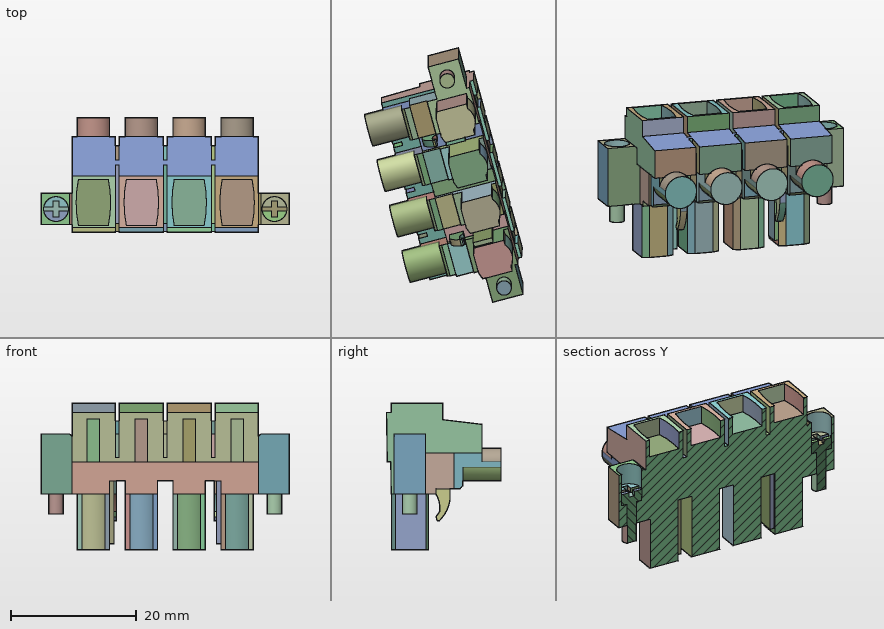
import cadquery as cq


OVERLAP = 0.4

POLE_COUNT = 4
POLE_PITCH = 7.65
POLE_SLOT_WIDTH = 0.6
TOTAL_LENGTH = 39.55
HOUSING_LENGTH = 29.7
POLE_CENTERS = [(i - (POLE_COUNT - 1) / 2) * POLE_PITCH for i in range(POLE_COUNT)]
GAP_CENTERS = [(i - (POLE_COUNT - 2) / 2) * POLE_PITCH for i in range(POLE_COUNT - 1)]

TOP_Z = 14.47
BACK_Y = 11.55
BACK_TOP_Z = 11.1
TOWER_BACK_Y = 5.25
TOWER_FOOT_Z = 11.85
FRONT_Y = -2.95
APRON_TOP_Z = 13.0
APRON_BOTTOM_Z = 5.15
APRON_TOP_Y = -3.7
APRON_DRAFT = 0.1
SKIRT_DRAFT = 0.08
SKIRT_TOP_Y = FRONT_Y - SKIRT_DRAFT
HEEL_Y = 4.15
HEEL_Z = 0.85
SHELF_Z = 6.55
SHELF_Y = 7.05
END_RELIEF_DEPTH = 0.47

SLOT_FLOOR_Z = 9.55
FRONT_SLOT_FLOOR_Z = 5.85
FRONT_SLOT_BACK_Y = -2.3
BRIDGE_FRONT_Y = SHELF_Y
BRIDGE_BACK_Y = 7.83
REAR_SLOT_BACK_Y = 10.1

POCKET_FRONT_Y = -2.65
POCKET_BACK_Y = 4.75
POCKET_END_WIDTH = 4.75
POCKET_MID_WIDTH = 5.5
POCKET_DEPTH = 3.05
GROOVE_WIDTH = 2.0
GROOVE_TOP_Z = 11.95
GROOVE_FLOOR_LEDGE = 0.1
GROOVE_FLOOR_Y = SKIRT_TOP_Y - GROOVE_FLOOR_LEDGE

POST_WIDTH = 5.18
POST_BOTTOM_Z = -8.9
POST_FRONT_Y = -2.25
POST_BULGE_Y = -2.93
POST_BULGE_WIDTH = 3.68
POST_BACK_Y = 3.0
POST_CHAMFER_DEPTH = 0.4
POST_CHAMFER_WIDTH = 1.05
NOTCH_TOP_Z = 2.1

KEY_WIDTH = 0.7
KEY_FRONT_Y = -0.5
KEY_BACK_Y = POST_BACK_Y - POST_CHAMFER_DEPTH
KEY_BOTTOM_Z = -7.95
LATCH_WIDTH = 1.05
LATCH_BACK_Y = 6.45
LATCH_BEND_Z = -0.8
LATCH_BACK_MID = (5.85, -2.73)
LATCH_TIP_BACK = (4.7, -4.27)
LATCH_TIP_FRONT = (4.4, -4.27)
LATCH_NOSE_Z = -3.65
LATCH_THROAT = (4.75, -2.8)
LATCH_FRONT_MID = (4.65, -1.25)

EAR_TOP_Z = SLOT_FLOOR_Z
EAR_BACK_Y = 2.55
EAR_FRONT_Y = -2.5
EAR_BEVEL_WIDTH = 0.4
EAR_BEVEL_DROP = 0.35
SCREW_EDGE_DISTANCE = 2.37
SCREW_X = TOTAL_LENGTH / 2 - SCREW_EDGE_DISTANCE

HEAD_DIAMETER = 3.95
HEAD_BOTTOM_Z = 3.95
HEAD_TOP_Z = 5.95
SHANK_DIAMETER = 2.35
SHANK_BOTTOM_Z = -3.2
DRIVE_DEPTH = 0.8
DRIVE_SLOT_WIDTH = 0.65
CROSS_WIDTH = 0.9
CROSS_LENGTH = 2.6

SLEEVE_END_Y = 14.55
SLEEVE_AXIS_Z = 4.7
SLEEVE_DIAMETER = 5.25
BLOCK_BACK_Y = 8.45
BLOCK_CHAMFER = 0.47


def box(x_range, y_range, z_range):
    """Axis-aligned box between the given limits."""
    (x0, x1), (y0, y1), (z0, z1) = x_range, y_range, z_range
    return cq.Workplane("XY").box(x1 - x0, y1 - y0, z1 - z0, centered=False).translate((x0, y0, z0))


def around(center, width):
    """Limits of a span with the given centre and width."""
    return (center - width / 2, center + width / 2)


def extrude_along_x(sketch, center_x, width):
    """Extrude a closed YZ outline to the given width about center_x."""
    return sketch.extrude(width / 2, both=True).translate((center_x, 0, 0))


def mirrored(left_feature):
    """A feature at the -X end together with its mirror image at the +X end."""
    return left_feature.union(left_feature.mirror("YZ"))


def housing_shell():
    outline = [
        (BACK_Y, SHELF_Z),
        (BACK_Y, BACK_TOP_Z),
        (TOWER_BACK_Y, TOWER_FOOT_Z),
        (TOWER_BACK_Y, TOP_Z),
        (FRONT_Y, TOP_Z),
        (FRONT_Y, APRON_TOP_Z),
        (APRON_TOP_Y, APRON_TOP_Z),
        (APRON_TOP_Y + APRON_DRAFT, APRON_BOTTOM_Z),
        (SKIRT_TOP_Y, APRON_BOTTOM_Z),
        (FRONT_Y, 0),
        (HEEL_Y, 0),
        (HEEL_Y, HEEL_Z),
        (SHELF_Y, HEEL_Z),
        (SHELF_Y, SHELF_Z),
    ]
    shell = extrude_along_x(cq.Workplane("YZ").polyline(outline).close(), 0, HOUSING_LENGTH)
    end_x = -HOUSING_LENGTH / 2
    relief = box(
        (end_x - OVERLAP, end_x + END_RELIEF_DEPTH),
        (EAR_BACK_Y, SHELF_Y + OVERLAP),
        (-OVERLAP, SHELF_Z),
    )
    return shell.cut(mirrored(relief))


def pole_slot(center_x):
    """Slot between two poles: stepped in front of the bridge, and behind it open at the back."""
    x_range = around(center_x, POLE_SLOT_WIDTH)
    above = TOP_Z + OVERLAP
    front = box(x_range, (APRON_TOP_Y - OVERLAP, FRONT_SLOT_BACK_Y), (FRONT_SLOT_FLOOR_Z, above))
    middle = box(x_range, (FRONT_SLOT_BACK_Y, BRIDGE_FRONT_Y), (SLOT_FLOOR_Z, above))
    rear = box(x_range, (BRIDGE_BACK_Y, REAR_SLOT_BACK_Y), (SLOT_FLOOR_Z, above))
    back = box(x_range, (REAR_SLOT_BACK_Y, BACK_Y + OVERLAP), (SHELF_Z - OVERLAP, above))
    return front.union(middle).union(rear).union(back)


def wire_pocket(center_x):
    """Top pocket with straight ends and bulging sides."""
    end = POCKET_END_WIDTH / 2
    mid = POCKET_MID_WIDTH / 2
    mid_y = (POCKET_FRONT_Y + POCKET_BACK_Y) / 2
    return (
        cq.Workplane("XY", origin=(center_x, 0, TOP_Z))
        .moveTo(-end, POCKET_FRONT_Y)
        .lineTo(end, POCKET_FRONT_Y)
        .threePointArc((mid, mid_y), (end, POCKET_BACK_Y))
        .lineTo(-end, POCKET_BACK_Y)
        .threePointArc((-mid, mid_y), (-end, POCKET_FRONT_Y))
        .close()
        .extrude(-POCKET_DEPTH)
    )


def front_groove(center_x):
    return box(
        around(center_x, GROOVE_WIDTH),
        (APRON_TOP_Y - OVERLAP, GROOVE_FLOOR_Y),
        (APRON_BOTTOM_Z, GROOVE_TOP_Z),
    )


def underside_notch(center_x):
    return box(
        around(center_x, POLE_PITCH - POST_WIDTH),
        (APRON_TOP_Y - OVERLAP, SHELF_Y + OVERLAP),
        (-OVERLAP, NOTCH_TOP_Z),
    )


def plug_post(center_x):
    """Post with a bulging front and chamfered rear corners."""
    half = POST_WIDTH / 2
    bulge = POST_BULGE_WIDTH / 2
    return (
        cq.Workplane("XY", origin=(center_x, 0, POST_BOTTOM_Z))
        .moveTo(-half, POST_FRONT_Y)
        .lineTo(-bulge, POST_FRONT_Y)
        .threePointArc((0, POST_BULGE_Y), (bulge, POST_FRONT_Y))
        .lineTo(half, POST_FRONT_Y)
        .lineTo(half, POST_BACK_Y - POST_CHAMFER_DEPTH)
        .lineTo(half - POST_CHAMFER_WIDTH, POST_BACK_Y)
        .lineTo(POST_CHAMFER_WIDTH - half, POST_BACK_Y)
        .lineTo(-half, POST_BACK_Y - POST_CHAMFER_DEPTH)
        .close()
        .extrude(NOTCH_TOP_Z - POST_BOTTOM_Z)
    )


def coding_key(post_side_x):
    return box(
        (post_side_x, post_side_x + KEY_WIDTH),
        (KEY_FRONT_Y, KEY_BACK_Y),
        (KEY_BOTTOM_Z, NOTCH_TOP_Z),
    )


def latch(post_side_x):
    """Hook that hangs below the housing and curves toward the posts."""
    hook = (
        cq.Workplane("YZ")
        .moveTo(LATCH_BACK_Y, NOTCH_TOP_Z)
        .lineTo(LATCH_BACK_Y, LATCH_BEND_Z)
        .threePointArc(LATCH_BACK_MID, LATCH_TIP_BACK)
        .lineTo(*LATCH_TIP_FRONT)
        .lineTo(HEEL_Y, LATCH_NOSE_Z)
        .lineTo(*LATCH_THROAT)
        .threePointArc(LATCH_FRONT_MID, (HEEL_Y, 0))
        .lineTo(HEEL_Y, NOTCH_TOP_Z)
        .close()
    )
    return extrude_along_x(hook, post_side_x + LATCH_WIDTH / 2, LATCH_WIDTH)


def screw_ear():
    """Flange at the -X end, beveled beside the housing and bored for its screw."""
    outer_x = -TOTAL_LENGTH / 2
    inner_x = -HOUSING_LENGTH / 2
    outline = [
        (outer_x, 0),
        (inner_x, 0),
        (inner_x, EAR_TOP_Z - EAR_BEVEL_DROP),
        (inner_x - EAR_BEVEL_WIDTH, EAR_TOP_Z),
        (outer_x, EAR_TOP_Z),
    ]
    ear = (
        cq.Workplane("XZ", origin=(0, EAR_BACK_Y, 0))
        .polyline(outline)
        .close()
        .extrude(EAR_BACK_Y - EAR_FRONT_Y)
    )
    bore = cq.Workplane("XY", origin=(-SCREW_X, 0, 0))
    shank_hole = bore.circle(SHANK_DIAMETER / 2).extrude(HEAD_BOTTOM_Z)
    head_seat = bore.workplane(offset=HEAD_BOTTOM_Z)
    head_hole = head_seat.circle(HEAD_DIAMETER / 2).extrude(EAR_TOP_Z - HEAD_BOTTOM_Z)
    return ear.cut(shank_hole).cut(head_hole)


def make_housing():
    housing = housing_shell()
    for x in GAP_CENTERS:
        housing = housing.cut(pole_slot(x)).cut(underside_notch(x))
    for x in POLE_CENTERS:
        housing = housing.cut(wire_pocket(x)).cut(front_groove(x)).union(plug_post(x))
    inner_side_x = POLE_CENTERS[0] + POST_WIDTH / 2
    for end_feature in (coding_key(inner_side_x), latch(inner_side_x), screw_ear()):
        housing = housing.union(mirrored(end_feature))
    return housing


def make_screw(center_x):
    """Headed screw with a full-width slot crossed by a shorter one."""
    shank = (
        cq.Workplane("XY", origin=(center_x, 0, SHANK_BOTTOM_Z))
        .circle(SHANK_DIAMETER / 2)
        .extrude(HEAD_BOTTOM_Z - SHANK_BOTTOM_Z)
    )
    head = (
        cq.Workplane("XY", origin=(center_x, 0, HEAD_BOTTOM_Z))
        .circle(HEAD_DIAMETER / 2)
        .extrude(HEAD_TOP_Z - HEAD_BOTTOM_Z)
    )
    drive = (
        cq.Workplane("XY", origin=(center_x, 0, HEAD_TOP_Z))
        .rect(HEAD_DIAMETER + OVERLAP, DRIVE_SLOT_WIDTH)
        .extrude(-DRIVE_DEPTH)
    )
    cross = (
        cq.Workplane("XY", origin=(center_x, 0, HEAD_TOP_Z))
        .rect(CROSS_WIDTH, CROSS_LENGTH)
        .extrude(-DRIVE_DEPTH)
    )
    return shank.union(head).cut(drive).cut(cross)


def make_wire_block(center_x):
    """Angled block under the housing shelf with a flat-sided round sleeve at the back."""
    outline = [
        (SHELF_Y, HEEL_Z),
        (BLOCK_BACK_Y - BLOCK_CHAMFER, HEEL_Z),
        (BLOCK_BACK_Y, HEEL_Z + BLOCK_CHAMFER),
        (BLOCK_BACK_Y, SLEEVE_AXIS_Z),
        (BACK_Y, SLEEVE_AXIS_Z),
        (BACK_Y, SHELF_Z),
        (SHELF_Y, SHELF_Z),
    ]
    block = extrude_along_x(cq.Workplane("YZ").polyline(outline).close(), center_x, POST_WIDTH)
    sleeve = (
        cq.Workplane("XZ", origin=(center_x, SLEEVE_END_Y, SLEEVE_AXIS_Z))
        .circle(SLEEVE_DIAMETER / 2)
        .extrude(SLEEVE_END_Y - BLOCK_BACK_Y)
    )
    envelope = box(
        around(center_x, POST_WIDTH),
        (BLOCK_BACK_Y, SLEEVE_END_Y),
        around(SLEEVE_AXIS_Z, SLEEVE_DIAMETER),
    )
    shelf_space = box(around(center_x, POST_WIDTH), (BLOCK_BACK_Y, BACK_Y), (SHELF_Z, TOP_Z))
    return block.union(sleeve.intersect(envelope).cut(shelf_space))


housing = make_housing()
screws = [make_screw(x) for x in (-SCREW_X, SCREW_X)]
wire_blocks = [make_wire_block(x) for x in POLE_CENTERS]

result = cq.Compound.makeCompound([body.val() for body in (housing, *screws, *wire_blocks)])